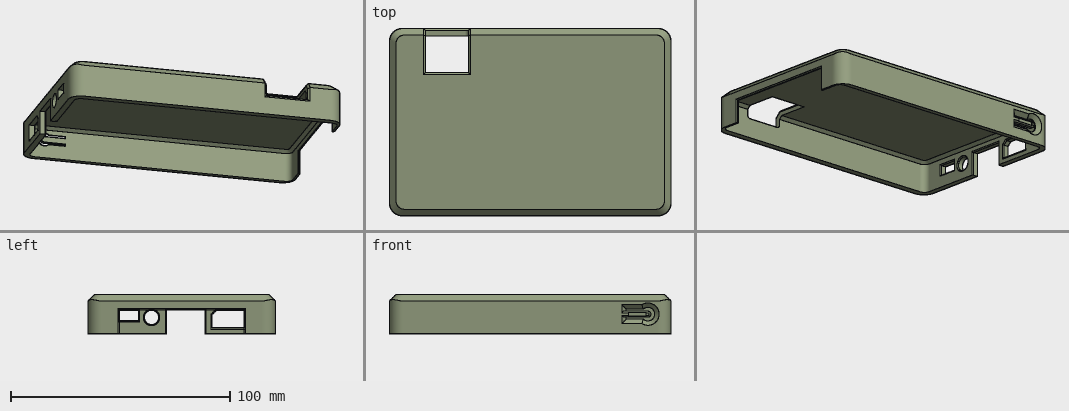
import cadquery as cq
import math

LENGTH = 128.6
WIDTH = 85.6
HEIGHT = 18.0
CORNER_RADIUS = 6.0
TOP_CHAMFER = 3.0
CAVITY_CHAMFER = 1.5
CAVITY_CORNER_RADIUS = 3.0
BACK_WALL = 3.5
FRONT_WALL = 2.5
RIGHT_WALL = 3.0
LEFT_WALL = 1.0
TOP_THICKNESS = 3.0
X_MAX = LENGTH / 2
Y_MAX = WIDTH / 2

EDGE_CHAMFER = 0.5
OPENING_TOP = 11.0
PORT_TOP = 10.6
PORT_HALF_WIDTH = 28.5
CENTER_PORT_Y = (-10.5, 6.9)
SMALL_PORT_Y = 19.8
SMALL_PORT_BOTTOM = 6.0
JACK_DIAMETER = 6.5
JACK_Y = 13.8
JACK_Z = 7.5
LARGE_PORT_Y = -13.9
LARGE_PORT_BOTTOM = 2.9
LARGE_PORT_CORNER = 1.8
LARGE_PORT_LIP = 0.9

WINDOW_X = (-47.8, -28.25)
WINDOW_FRONT_Y = 22.7
WINDOW_SILL_Z = 9.3
WINDOW_CHAMFER = 1.0
SILL_CORNER_RADIUS = 1.5

SLOT_Z = 9.0
SLOT_LEFT_X = 41.8
SLOT_END_X = 53.7
SLOT_CHAMFER = 2.0
SLOT_HALF_HEIGHT = 2.3
SLOT_END_RADIUS = 3.1
FINGER_HALF_HEIGHT = 1.35
FINGER_CHAMFER = 0.75
FINGER_RECESS_X = (44.9, 52.8)
FINGER_RECESS_DEPTH = 0.15

BEVEL_ANGLE = 45
OVERCUT = 1.0


def box(x_range, y_range, z_range):
    """Axis-aligned box spanning the given ranges."""
    size = [high - low for low, high in (x_range, y_range, z_range)]
    return cq.Workplane("XY").box(*size, centered=False).translate((x_range[0], y_range[0], z_range[0]))


def shell():
    """Hollow upright block under a bevelled roof, with block and roof corners rounded alike."""
    block = cq.Workplane("XY").box(LENGTH, WIDTH, HEIGHT, centered=(True, True, False))
    block = block.edges("|Z").fillet(CORNER_RADIUS)
    spread = 2 * (HEIGHT - TOP_CHAMFER)
    roof = cq.Workplane("XY").rect(LENGTH + spread, WIDTH + spread).extrude(HEIGHT, taper=BEVEL_ANGLE)
    roof = roof.edges("not #Z").fillet(CORNER_RADIUS)
    body = block.intersect(roof)
    cavity = box(
        (-X_MAX + LEFT_WALL, X_MAX - RIGHT_WALL),
        (-Y_MAX + FRONT_WALL, Y_MAX - BACK_WALL),
        (-OVERCUT, HEIGHT - TOP_THICKNESS),
    )
    cavity = cavity.edges("|Z").fillet(CAVITY_CORNER_RADIUS)
    cavity = cavity.faces(">Z").edges().chamfer(CAVITY_CHAMFER)
    return body.cut(cavity)


def yz_rectangle(y_range, z_range, grow):
    """YZ rectangle spanning the given ranges, enlarged by grow on every side."""
    width = y_range[1] - y_range[0] + 2 * grow
    height = z_range[1] - z_range[0] + 2 * grow
    return cq.Workplane("YZ").center(sum(y_range) / 2, sum(z_range) / 2).rect(width, height)


def jack_circle(grow):
    """Round jack hole outline, enlarged by grow."""
    return cq.Workplane("YZ").center(JACK_Y, JACK_Z).circle(JACK_DIAMETER / 2 + grow)


def flared_port(outline, wide_x, depth):
    """Cutter that runs towards +X from wide_x, with a chamfered rim at wide_x."""
    port = outline(0).extrude(depth)
    rim = outline(EDGE_CHAMFER).extrude(EDGE_CHAMFER, taper=BEVEL_ANGLE)
    return port.union(rim).translate((wide_x, 0, 0))


def large_port_outline(grow):
    """Rectangle with its upper corner towards the centre of the wall cut off."""
    y_inner = LARGE_PORT_Y + grow
    z_top = PORT_TOP + grow
    cut = LARGE_PORT_CORNER + grow * (2 - math.sqrt(2))
    return cq.Workplane("YZ").polyline(
        [
            (-PORT_HALF_WIDTH - grow, LARGE_PORT_BOTTOM - grow),
            (y_inner, LARGE_PORT_BOTTOM - grow),
            (y_inner, z_top - cut),
            (y_inner - cut, z_top),
            (-PORT_HALF_WIDTH - grow, z_top),
        ]
    ).close()


def large_port_lip():
    """Wedge that deepens the chamfer along the bottom of the large port."""
    inner_x = X_MAX - RIGHT_WALL
    profile = cq.Workplane("XZ", origin=(0, LARGE_PORT_Y + EDGE_CHAMFER, 0)).polyline(
        [
            (inner_x, LARGE_PORT_BOTTOM),
            (inner_x, LARGE_PORT_BOTTOM - LARGE_PORT_LIP),
            (inner_x + LARGE_PORT_LIP, LARGE_PORT_BOTTOM),
        ]
    ).close()
    return profile.extrude(PORT_HALF_WIDTH + LARGE_PORT_Y + 2 * EDGE_CHAMFER)


def left_opening():
    """Wide opening through the left wall, open at the bottom."""
    y_range = (-PORT_HALF_WIDTH, PORT_HALF_WIDTH)
    return flared_port(
        lambda grow: yz_rectangle(y_range, (-OVERCUT, OPENING_TOP), grow),
        -X_MAX,
        LEFT_WALL,
    )


def right_openings():
    """Cutters for the four connector openings through the right wall."""
    outlines = [
        lambda grow: yz_rectangle(CENTER_PORT_Y, (-OVERCUT, OPENING_TOP), grow),
        lambda grow: yz_rectangle((SMALL_PORT_Y, PORT_HALF_WIDTH), (SMALL_PORT_BOTTOM, PORT_TOP), grow),
        jack_circle,
        large_port_outline,
    ]
    return [flared_port(outline, X_MAX - RIGHT_WALL, RIGHT_WALL) for outline in outlines]


def window():
    """Opening through the top that continues down the back wall to a sill."""
    x_left, x_right = WINDOW_X
    grow = WINDOW_CHAMFER
    hole = box(WINDOW_X, (WINDOW_FRONT_Y, Y_MAX), (WINDOW_SILL_Z, HEIGHT))
    hole = hole.edges("|Y and <Z").fillet(SILL_CORNER_RADIUS)
    center_x = (x_left + x_right) / 2
    width = x_right - x_left + 2 * grow
    top_depth = Y_MAX - WINDOW_FRONT_Y + 2 * grow
    top_rim = (
        cq.Workplane("XY", origin=(center_x, WINDOW_FRONT_Y - grow + top_depth / 2, HEIGHT))
        .rect(width, top_depth)
        .extrude(-grow, taper=BEVEL_ANGLE)
    )
    back_height = HEIGHT - WINDOW_SILL_Z + 2 * grow
    back_rim = (
        cq.Workplane("XZ", origin=(center_x, Y_MAX, WINDOW_SILL_Z - grow + back_height / 2))
        .rect(width, back_height)
        .extrude(grow, taper=BEVEL_ANGLE)
    )
    slope_length = math.sqrt(2) * TOP_CHAMFER + 2 * grow
    slope_plane = cq.Plane(
        origin=(center_x, Y_MAX - TOP_CHAMFER / 2, HEIGHT - TOP_CHAMFER / 2),
        xDir=(1, 0, 0),
        normal=(0, -1, -1),
    )
    slope_rim = cq.Workplane(slope_plane).rect(width, slope_length).extrude(grow, taper=BEVEL_ANGLE)
    return hole.union(top_rim).union(back_rim).union(slope_rim)


def front_plane(x, z):
    """Plane on the outside of the front wall with its normal pointing into the part."""
    return cq.Workplane(cq.Plane(origin=(x, -Y_MAX, z), xDir=(1, 0, 0), normal=(0, 1, 0)))


def slot():
    """Round-ended slot through the front wall, with a deep chamfer around its outer rim."""
    depth = FRONT_WALL + OVERCUT
    straight_length = SLOT_END_X - SLOT_LEFT_X - SLOT_CHAMFER
    straight_center = SLOT_END_X - straight_length / 2
    straight = front_plane(straight_center, SLOT_Z).rect(straight_length, 2 * SLOT_HALF_HEIGHT).extrude(depth)
    straight_rim = (
        front_plane(straight_center, SLOT_Z)
        .rect(straight_length + 2 * SLOT_CHAMFER, 2 * (SLOT_HALF_HEIGHT + SLOT_CHAMFER))
        .extrude(SLOT_CHAMFER, taper=BEVEL_ANGLE)
    )
    end = front_plane(SLOT_END_X, SLOT_Z).circle(SLOT_END_RADIUS).extrude(depth)
    end_rim = (
        front_plane(SLOT_END_X, SLOT_Z)
        .circle(SLOT_END_RADIUS + SLOT_CHAMFER)
        .extrude(SLOT_CHAMFER, taper=BEVEL_ANGLE)
    )
    return straight.union(straight_rim).union(end).union(end_rim)


def finger():
    """Spring finger rooted at the left end of the slot, its long face thinned from outside."""
    root_x = SLOT_LEFT_X - OVERCUT
    length = SLOT_END_X - root_x
    bar = front_plane(root_x + length / 2, SLOT_Z).rect(length, 2 * FINGER_HALF_HEIGHT).extrude(FRONT_WALL)
    tip = front_plane(SLOT_END_X, SLOT_Z).circle(FINGER_HALF_HEIGHT).extrude(FRONT_WALL)
    blade = bar.union(tip).faces("<Y").edges().chamfer(FINGER_CHAMFER)
    recess = box(
        FINGER_RECESS_X,
        (-Y_MAX, -Y_MAX + FINGER_RECESS_DEPTH),
        (SLOT_Z - FINGER_HALF_HEIGHT, SLOT_Z + FINGER_HALF_HEIGHT),
    )
    return blade.cut(recess)


result = shell().cut(left_opening())
for opening in right_openings():
    result = result.cut(opening)
result = result.cut(large_port_lip())
result = result.cut(window()).cut(slot()).union(finger())